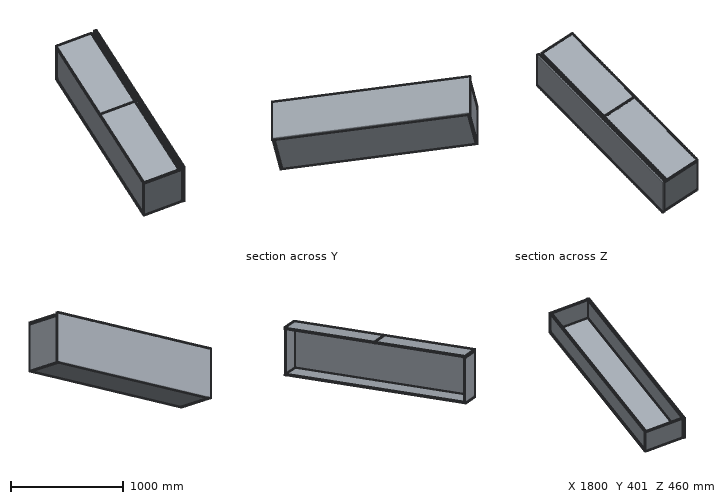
import cadquery as cq

length = 1800.0
depth = 401.0
height = 460.0

worktop_thickness = 22.0
worktop_rounding = 4.0
worktop_overhang = 5.5
worktop_rise = 27.0

panel_thickness = 16.0
rail_width = 90.0

door_count = 2
door_thickness = 16.0
door_gap = 4.0
grip_gap = 29.0

carcass_length = length - 2 * worktop_overhang
carcass_depth = depth - worktop_thickness
carcass_height = height - worktop_rise
carcass_left = worktop_overhang
right_side_left = carcass_left + carcass_length - panel_thickness
inner_left = carcass_left + panel_thickness
inner_length = carcass_length - 2 * panel_thickness

door_length = (carcass_length - (door_count - 1) * door_gap) / door_count
door_depth = carcass_depth - grip_gap
door_pitch = door_length + door_gap


def block(size, corner):
    """Box of the given X, Y, Z size with its lowest corner at the given point."""
    return cq.Workplane("XY").box(*size, centered=False).translate(corner)


def make_worktop():
    """Slab with its outer edges rounded; the edges facing the carcass stay sharp."""
    slab = block((length, worktop_thickness, height), (0, carcass_depth, 0))
    return slab.edges("|Y or >Y").fillet(worktop_rounding)


def make_side(left):
    """Full-height end panel."""
    return block((panel_thickness, carcass_depth, carcass_height), (left, 0, 0))


def make_floor():
    """Bottom panel between the sides."""
    return block((inner_length, carcass_depth, panel_thickness), (inner_left, 0, 0))


def make_front_panel():
    """Front panel between the sides, standing on the floor."""
    panel_height = carcass_height - panel_thickness
    return block((inner_length, panel_thickness, panel_height), (inner_left, 0, panel_thickness))


def make_rail():
    """Flat rail between the sides, along the worktop and flush with the carcass top."""
    corner = (inner_left, carcass_depth - rail_width, carcass_height - panel_thickness)
    return block((inner_length, rail_width, panel_thickness), corner)


def make_door(left):
    """Plain door, stopping short of the worktop to leave a finger grip."""
    return block((door_length, door_depth, door_thickness), (left, 0, carcass_height))


worktop = make_worktop()
sides = [make_side(left) for left in (carcass_left, right_side_left)]
floor = make_floor()
front_panel = make_front_panel()
rail = make_rail()
doors = [make_door(carcass_left + i * door_pitch) for i in range(door_count)]

bodies = [worktop, *sides, floor, front_panel, rail, *doors]
result = cq.Compound.makeCompound([body.val() for body in bodies])